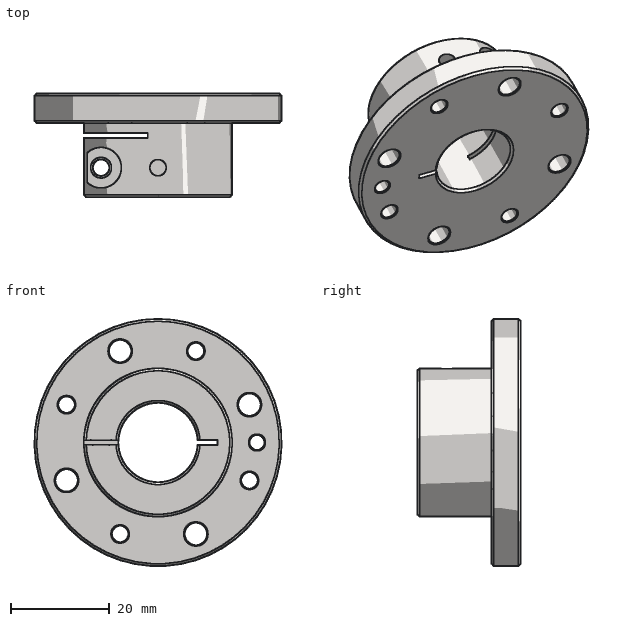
import cadquery as cq
import math

flange_diameter = 50.0
flange_thickness = 6.0
hub_diameter = 30.0
hub_radius = hub_diameter / 2
hub_length = 15.0
bore_diameter = 16.0
edge_chamfer = 0.5
hub_overlap = 1.0

hub_face_y = -hub_length
flange_back_y = flange_thickness

hole_circle_radius = 20.0
hole_count = 8
hole_pitch_angle = 360.0 / hole_count
first_hole_angle = hole_pitch_angle / 2
clearance_hole_diameter = 4.5
flange_hole_chamfer = 0.2
dowel_hole_diameter = 3.0
dowel_hole_angle = 0.0

tapped_hole_diameter = 3.3

slit_width = 1.0
cross_slit_front_y = -3.0
cross_slit_end_x = -2.1
relief_slot_end_x = 12.0

screw_inset = 6.0
screw_y = hub_face_y + screw_inset
clamp_screw_x = -11.5
clamp_clearance_diameter = 4.2
counterbore_diameter = 8.2
counterbore_seat_z = 4.5


def cylinder_y(x, z, diameter, y_start, y_end):
    """Cylinder parallel to the shaft axis."""
    base = cq.Vector(x, y_start, z)
    solid = cq.Solid.makeCylinder(diameter / 2, y_end - y_start, base, cq.Vector(0, 1, 0))
    return cq.Workplane(solid)


def cylinder_z(x, diameter, z_start, z_end):
    """Cylinder parallel to Z, in the plane of the two screws."""
    base = cq.Vector(x, screw_y, z_start)
    solid = cq.Solid.makeCylinder(diameter / 2, z_end - z_start, base, cq.Vector(0, 0, 1))
    return cq.Workplane(solid)


def block(x_start, x_end, y_start, y_end, height):
    """Block centred on the plane Z = 0."""
    size = (x_end - x_start, y_end - y_start, height)
    return cq.Workplane().box(*size, centered=(False, False, True)).translate((x_start, y_start, 0))


def make_body():
    """Flange disc and hub; the hub starts slightly inside the flange so the two fuse."""
    flange = cylinder_y(0, 0, flange_diameter, 0, flange_back_y).edges().chamfer(edge_chamfer)
    hub = cylinder_y(0, 0, hub_diameter, hub_face_y, hub_overlap).edges("<Y").chamfer(edge_chamfer)
    return flange.union(hub)


def bore_cutter(x, z, diameter, chamfer, y_start, y_end):
    """Through bore along Y with a countersunk edge at each end."""
    cutter = cylinder_y(x, z, diameter, y_start, y_end)
    mouth_radius = diameter / 2 + chamfer
    for y, inward in ((y_start, 1), (y_end, -1)):
        mouth = cq.Solid.makeCone(
            mouth_radius, diameter / 2, chamfer, cq.Vector(x, y, z), cq.Vector(0, inward, 0)
        )
        cutter = cutter.union(cq.Workplane(mouth))
    return cutter


def cut_flange_hole(body, angle, diameter):
    """Through hole on the hole circle at an angle in degrees."""
    x = hole_circle_radius * math.cos(math.radians(angle))
    z = hole_circle_radius * math.sin(math.radians(angle))
    return body.cut(bore_cutter(x, z, diameter, flange_hole_chamfer, 0, flange_back_y))


def cut_flange_holes(body):
    for index in range(hole_count):
        is_clearance = index % 2 == 0
        diameter = clearance_hole_diameter if is_clearance else tapped_hole_diameter
        body = cut_flange_hole(body, first_hole_angle + index * hole_pitch_angle, diameter)
    return cut_flange_hole(body, dowel_hole_angle, dowel_hole_diameter)


def cut_slits(body):
    """Free two clamp jaws with a cross slit and a radial slit, and add a relief slot beyond the bore."""
    cross_slit_back_y = cross_slit_front_y + slit_width
    cross_slit = block(-hub_radius, cross_slit_end_x, cross_slit_front_y, cross_slit_back_y, hub_diameter)
    radial_slit = block(-hub_radius, 0, hub_face_y, cross_slit_back_y, slit_width)
    relief_slot = block(0, relief_slot_end_x, hub_face_y, flange_back_y, slit_width)
    return body.cut(cross_slit).cut(radial_slit).cut(relief_slot)


def cut_clamp_screw(body):
    """Counterbore and clearance hole in the upper jaw, tapped hole in the lower jaw."""
    body = body.cut(cylinder_z(clamp_screw_x, counterbore_diameter, counterbore_seat_z, hub_radius))
    body = body.cut(cylinder_z(clamp_screw_x, clamp_clearance_diameter, 0, counterbore_seat_z))
    return body.cut(cylinder_z(clamp_screw_x, tapped_hole_diameter, -hub_radius, 0))


def cut_set_screw(body):
    """Tapped hole from the top of the hub into the bore."""
    return body.cut(cylinder_z(0, tapped_hole_diameter, 0, hub_radius))


result = make_body()
result = result.cut(bore_cutter(0, 0, bore_diameter, edge_chamfer, hub_face_y, flange_back_y))
result = cut_flange_holes(result)
result = cut_slits(result)
result = cut_clamp_screw(result)
result = cut_set_screw(result)